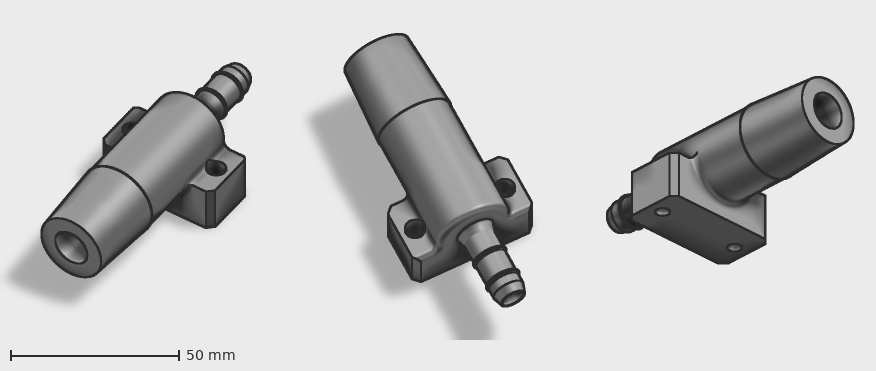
import cadquery as cq
import math


axis_height = 18.0
body_radius = 12.0
body_length = 40.0
nose_length = 25.0
nose_base_radius = 12.25
nose_tip_radius = 10.75
nose_end_y = -(body_length + nose_length)

barb_radius = 5.0
barb_length = 25.0
barb_taper_length = 3.0
barb_taper_rise = 1.0
ring_radius = 5.5
ring_width = 1.0
ring_chamfer = ring_radius - barb_radius
ring_distances_from_tip = (6.0, 14.5)

through_bore_radius = 3.5
socket_mouth_radius = 5.75
socket_depth = nose_length
socket_end_radius = 4.5

block_width = 40.0
block_length = 20.0
block_height = 15.0
corner_chamfer = 2.0
junction_fillet = 2.0
rear_edge_fillet = 2.0

screw_spacing = 30.0
screw_y = -10.0
screw_diameter = 4.5
counterbore_diameter = 6.0
counterbore_depth = 10.0

overlap = 1.0
reach = 0.1


def revolve_about_tube(profile):
    """Revolve a closed list of (radius, y) points about the tube axis."""
    flat = cq.Workplane("XY").polyline(profile).close()
    return flat.revolve(360, (0, 0, 0), (0, 1, 0)).translate((0, 0, axis_height))


def tube_cylinder(radius, start_y, end_y):
    return revolve_about_tube([(0, start_y), (radius, start_y), (radius, end_y), (0, end_y)])


def make_block():
    """Block standing on Z = 0 with its four upright corners chamfered."""
    block = cq.Workplane("XY").box(block_width, block_length, block_height, centered=(True, True, False))
    block = block.translate((0, -block_length / 2, 0))
    return block.edges("|Z").chamfer(corner_chamfer)


def make_mount():
    """Body cylinder blended into the block, with a rounded rear edge."""
    mount = make_block().union(tube_cylinder(body_radius, -body_length, 0))

    seam_x = math.sqrt(body_radius**2 - (axis_height - block_height)**2)
    seam_box = cq.selectors.BoxSelector(
        (-seam_x - reach, -block_length - reach, axis_height - body_radius - reach),
        (seam_x + reach, reach, block_height + reach),
        boundingbox=True,
    )
    mount = mount.edges(seam_box).fillet(junction_fillet)

    rear_top = cq.selectors.BoxSelector(
        (-block_width, -reach, block_height - reach),
        (block_width, reach, axis_height + body_radius + reach),
        boundingbox=True,
    )
    return mount.edges(rear_top).fillet(rear_edge_fillet)


def make_nose():
    nose_start_y = -body_length
    return revolve_about_tube([
        (0, nose_start_y),
        (nose_base_radius, nose_start_y),
        (nose_tip_radius, nose_end_y),
        (0, nose_end_y),
    ])


def make_barb_ring(distance_from_tip):
    """Ring with a lead-in chamfer on the side facing the barb tip."""
    rear_y = barb_length - distance_from_tip
    front_y = rear_y - ring_width
    return revolve_about_tube([
        (0, front_y),
        (ring_radius, front_y),
        (ring_radius, rear_y - ring_chamfer),
        (barb_radius, rear_y),
        (0, rear_y),
    ])


def make_barb():
    flare_radius = barb_radius + barb_taper_rise
    barb = revolve_about_tube([
        (0, -overlap),
        (flare_radius, -overlap),
        (flare_radius, 0),
        (barb_radius, barb_taper_length),
        (barb_radius, barb_length - barb_taper_length),
        (barb_radius - barb_taper_rise, barb_length),
        (0, barb_length),
    ])
    for distance in ring_distances_from_tip:
        barb = barb.union(make_barb_ring(distance))
    return barb


def make_bores():
    """Through bore with a tapered socket opening at the nose."""
    socket = revolve_about_tube([
        (0, nose_end_y),
        (socket_mouth_radius, nose_end_y),
        (socket_end_radius, nose_end_y + socket_depth),
        (0, nose_end_y + socket_depth),
    ])
    return socket.union(tube_cylinder(through_bore_radius, nose_end_y - overlap, barb_length + overlap))


def make_screw_hole(x):
    """Clearance hole with a counterbore that also cuts into the seam fillet."""
    counterbore_floor = block_height - counterbore_depth
    counterbore_top = axis_height
    hole = cq.Workplane("XY").circle(screw_diameter / 2).extrude(block_height)
    counterbore = (
        cq.Workplane("XY")
        .workplane(offset=counterbore_floor)
        .circle(counterbore_diameter / 2)
        .extrude(counterbore_top - counterbore_floor)
    )
    return hole.union(counterbore).translate((x, screw_y, 0))


result = make_mount().union(make_nose()).union(make_barb()).cut(make_bores())
for side in (-1, 1):
    result = result.cut(make_screw_hole(side * screw_spacing / 2))